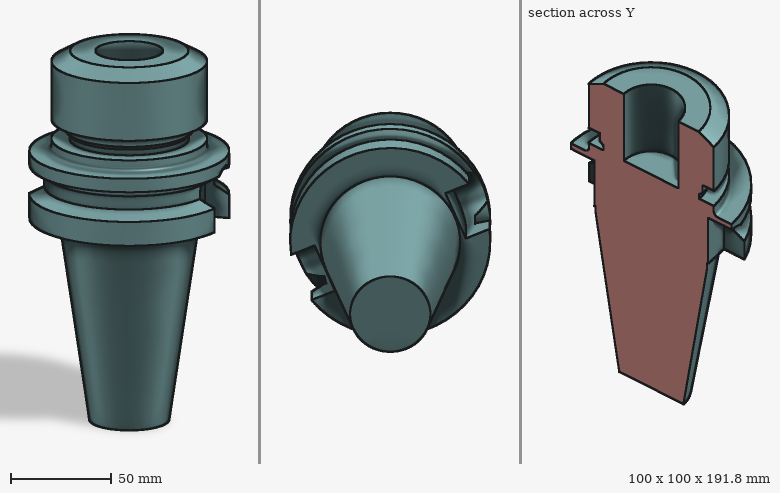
import cadquery as cq
import math

gauge_height = 101.8
gauge_radius = 35.0
taper_ratio = 7 / 24
shank_end_radius = gauge_radius - gauge_height * taper_ratio / 2

flange_diameter = 100.0
flange_radius = flange_diameter / 2
flange_bottom = 105.0
flange_top = 139.8
groove_floor_radius = 42.5
groove_floor_bottom = 121.6
groove_floor_top = 128.5
groove_wall_angle = 30
groove_wall_rise = (flange_radius - groove_floor_radius) * math.tan(math.radians(groove_wall_angle))

boss_radius = 39.0
boss_top = 146.2
boss_blend_radius = 2.7

neck_radius = 30.0
neck_top = 149.0
collar_radius = 32.0
collar_chamfer = collar_radius - neck_radius

nut_radius = 39.0
nut_bottom = 156.3
nut_top = 191.8
nut_face_radius = 29.5
nut_chamfer_height = 5.4

bore_radius = 16.9
bore_depth = nut_top - boss_top

slot_width = 26.0
slot_top = 135.8
slot_floor = 35.5
slot_arc_height = slot_top - slot_width / 2


def make_body():
    blend_offset = boss_blend_radius * math.sin(math.radians(45))
    blend_center_radius = boss_radius + boss_blend_radius
    blend_center_height = flange_top + boss_blend_radius
    profile = (
        cq.Workplane("XZ")
        .moveTo(0, 0)
        .lineTo(shank_end_radius, 0)
        .lineTo(gauge_radius, gauge_height)
        .lineTo(gauge_radius, flange_bottom)
        .lineTo(flange_radius, flange_bottom)
        .lineTo(flange_radius, groove_floor_bottom - groove_wall_rise)
        .lineTo(groove_floor_radius, groove_floor_bottom)
        .lineTo(groove_floor_radius, groove_floor_top)
        .lineTo(flange_radius, groove_floor_top + groove_wall_rise)
        .lineTo(flange_radius, flange_top)
        .lineTo(blend_center_radius, flange_top)
        .threePointArc(
            (blend_center_radius - blend_offset, blend_center_height - blend_offset),
            (boss_radius, blend_center_height),
        )
        .lineTo(boss_radius, boss_top)
        .lineTo(neck_radius, boss_top)
        .lineTo(neck_radius, neck_top)
        .lineTo(collar_radius, neck_top + collar_chamfer)
        .lineTo(collar_radius, nut_bottom)
        .lineTo(nut_radius, nut_bottom)
        .lineTo(nut_radius, nut_top - nut_chamfer_height)
        .lineTo(nut_face_radius, nut_top)
        .lineTo(0, nut_top)
        .close()
    )
    return profile.revolve(360, (0, 0), (0, 1))


def make_bore():
    return cq.Workplane("XY", origin=(0, 0, nut_top)).circle(bore_radius).extrude(-bore_depth)


def make_slot(side):
    """Round-topped slot cutter, reaching from the slot floor past the rim at X = side * radius."""
    half_width = slot_width / 2
    return (
        cq.Workplane("YZ", origin=(side * slot_floor, 0, 0))
        .moveTo(-half_width, flange_bottom)
        .lineTo(-half_width, slot_arc_height)
        .threePointArc((0, slot_top), (half_width, slot_arc_height))
        .lineTo(half_width, flange_bottom)
        .close()
        .extrude(side * flange_radius)
    )


result = make_body().cut(make_bore())
for side in (-1, 1):
    result = result.cut(make_slot(side))